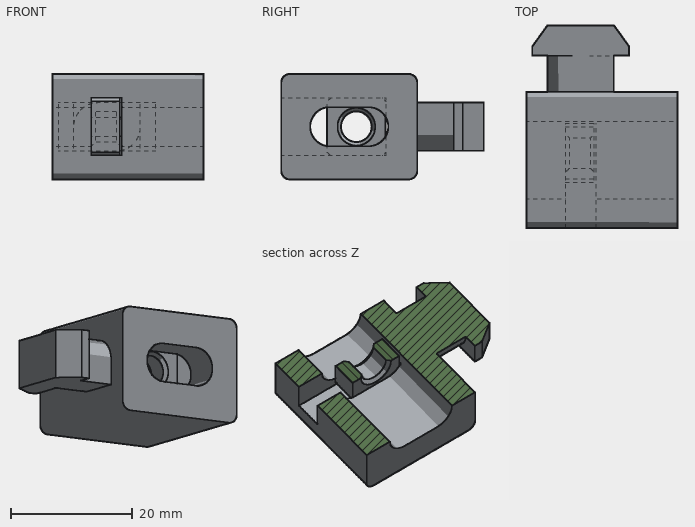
import cadquery as cq

block_width = 25.0
block_depth = 22.5
block_height = 17.5
block_fillet = 1.5

overall_depth = 33.5
foot_center_x = 8.98
foot_height = 8.0
stem_width = 11.0
stem_length = 6.0
stem_corner_radius = foot_height / 2
head_width = 16.0
head_edge_length = 1.5
head_start_y = block_depth + stem_length
head_bevel_y = head_start_y + head_edge_length

oblong_length = 12.85
oblong_height = 6.43

pocket_width = 5.02
pocket_height = 9.5
pocket_depth = 17.3
pocket_left_x = foot_center_x - pocket_width / 2

nut_thickness = 4.7
nut_length = 9.7
nut_height = pocket_height
nut_chamfer = 0.57
bore_diameter = 5.02
countersink_diameter = 6.23
countersink_depth = (countersink_diameter - bore_diameter) / 2


def make_block():
    block = cq.Workplane("XY").box(block_width, block_depth, block_height, centered=(False, False, True))
    return block.edges("|X").fillet(block_fillet)


def make_stem():
    """Stem with two diagonally opposite rounded corners, so that it can turn in a slot."""
    stem = (
        cq.Workplane("XY")
        .box(stem_width, stem_length, foot_height, centered=(True, False, True))
        .translate((foot_center_x, block_depth, 0))
    )
    stem = stem.faces("<X").edges(">Z").fillet(stem_corner_radius)
    stem = stem.faces(">X").edges("<Z").fillet(stem_corner_radius)
    return stem


def make_head():
    head_half = head_width / 2
    stem_half = stem_width / 2
    return (
        cq.Workplane("XY")
        .workplane(offset=-foot_height / 2)
        .center(foot_center_x, 0)
        .polyline([
            (-head_half, head_start_y),
            (head_half, head_start_y),
            (head_half, head_bevel_y),
            (stem_half, overall_depth),
            (-stem_half, overall_depth),
            (-head_half, head_bevel_y),
        ])
        .close()
        .extrude(foot_height)
    )


def make_oblong_hole():
    return (
        cq.Workplane("YZ")
        .center(block_depth / 2, 0)
        .slot2D(oblong_length, oblong_height)
        .extrude(block_width)
    )


def make_pocket():
    return (
        cq.Workplane("XY")
        .box(pocket_width, pocket_depth, pocket_height, centered=(False, False, True))
        .translate((pocket_left_x, 0, 0))
    )


def make_housing():
    solid = make_block().union(make_stem()).union(make_head())
    return solid.cut(make_oblong_hole()).cut(make_pocket())


def make_nut():
    """Nut with its bore along X, countersunk on both sides."""
    nut = cq.Workplane("YZ").rect(nut_length, nut_height).extrude(nut_thickness)
    nut = nut.edges("|X").chamfer(nut_chamfer)
    bore = cq.Workplane("YZ").circle(bore_diameter / 2).extrude(nut_thickness)
    nut = nut.cut(bore).faces("<X or >X").edges("%CIRCLE").chamfer(countersink_depth)
    return nut.translate((pocket_left_x, pocket_depth - nut_length / 2, 0))


housing = make_housing().solids()
nut = make_nut().solids()

result = cq.Compound.makeCompound([housing.val(), nut.val()])